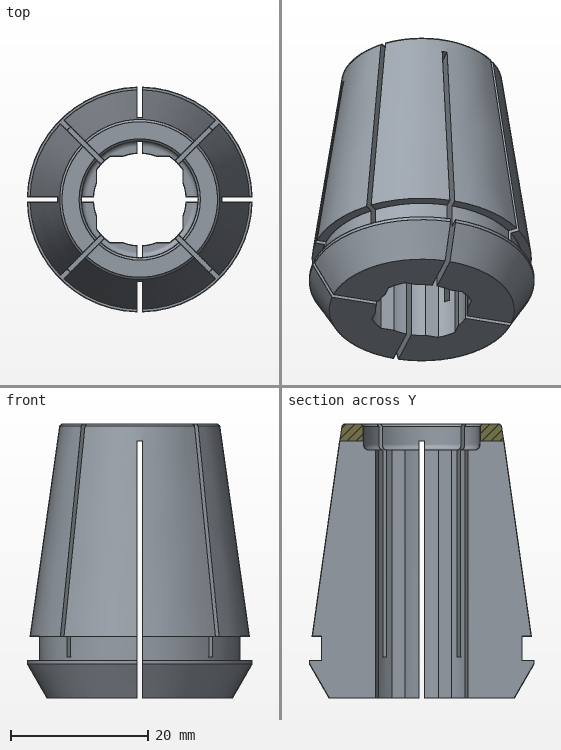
import cadquery as cq
import math

total_height = 40.0

flange_radius = 16.4
flange_top = 5.5
flange_rim_bottom = 5.0
flange_cone_angle = 30.0
flange_bottom_radius = flange_radius - flange_rim_bottom * math.tan(math.radians(flange_cone_angle))

groove_radius = 14.65
groove_top = 9.0

cone_base_radius = 16.0
cone_half_angle = 8.0
cone_top_radius = cone_base_radius - (total_height - groove_top) * math.tan(math.radians(cone_half_angle))
top_chamfer = 0.3

recess_radius = 8.5
recess_depth = 3.8
recess_fillet = 0.8
recess_chamfer = 0.35
recess_chamfer_angle = 45.0

bore_square = 12.6
bore_corner_radius = 7.65
bore_relief_radius = 6.75

slit_count = 4
slit_width = 0.75
lower_slit_top = 37.5
upper_slit_floor = 6.0


def make_body():
    """Outer shape of the collet, turned about Z."""
    profile = (
        cq.Workplane("XZ")
        .lineTo(flange_bottom_radius, 0)
        .lineTo(flange_radius, flange_rim_bottom)
        .lineTo(flange_radius, flange_top)
        .lineTo(groove_radius, flange_top)
        .lineTo(groove_radius, groove_top)
        .lineTo(cone_base_radius, groove_top)
        .lineTo(cone_top_radius, total_height)
        .lineTo(0, total_height)
        .close()
    )
    body = profile.revolve(360, (0, 0, 0), (0, 1, 0))
    return body.faces(">Z").chamfer(top_chamfer)


def make_recess():
    """Round recess with a filleted floor and a chamfered mouth."""
    floor = total_height - recess_depth
    recess = cq.Workplane("XY").workplane(offset=floor).circle(recess_radius).extrude(recess_depth)
    recess = recess.faces("<Z").edges().fillet(recess_fillet)
    mouth = (
        cq.Workplane("XY")
        .workplane(offset=total_height)
        .circle(recess_radius + recess_chamfer)
        .extrude(-recess_chamfer, taper=recess_chamfer_angle)
    )
    return recess.union(mouth)


def make_bore():
    """Through bore with four flats, round corners and a round relief across the flats."""
    square = cq.Workplane("XY").rect(bore_square, bore_square).extrude(total_height)
    corners = cq.Workplane("XY").circle(bore_corner_radius).extrude(total_height)
    relief = cq.Workplane("XY").circle(bore_relief_radius).extrude(total_height)
    return square.intersect(corners).union(relief)


def make_slits(bottom, top, start_angle):
    """Radial slits from the axis outward, evenly spaced from start_angle."""
    slits = cq.Workplane("XY")
    for index in range(slit_count):
        slit = (
            cq.Workplane("XY")
            .workplane(offset=bottom)
            .rect(2 * flange_radius, slit_width)
            .extrude(top - bottom)
            .translate((flange_radius, 0, 0))
            .rotate((0, 0, 0), (0, 0, 1), start_angle + index * 360 / slit_count)
        )
        slits = slits.union(slit)
    return slits


lower_slits = make_slits(0, lower_slit_top, 0)
upper_slits = make_slits(upper_slit_floor, total_height, 180 / slit_count)

result = make_body().cut(make_recess()).cut(make_bore()).cut(lower_slits).cut(upper_slits)